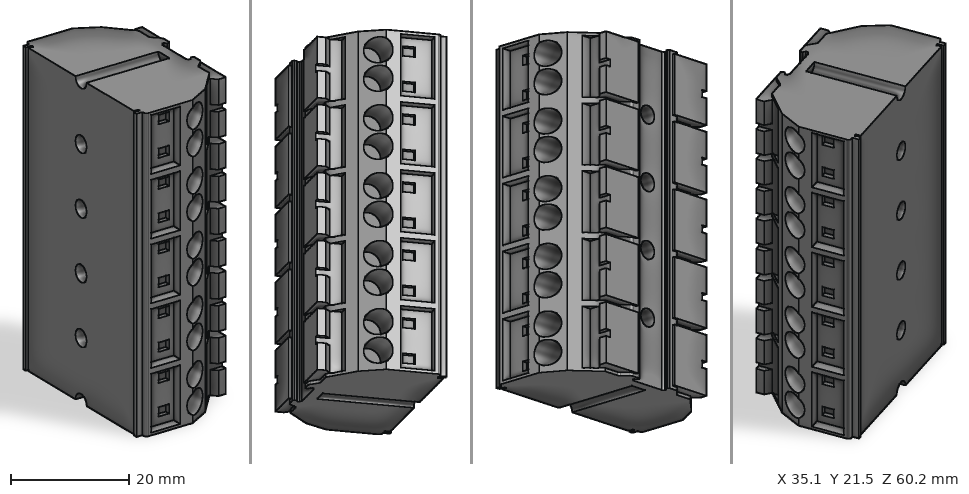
import cadquery as cq

module_count = 5
module_pitch = 12.05
length = module_count * module_pitch
half_width = 35.1 / 2
depth = 21.5

base_y = 0.25
top_y = 19.45
top_half_width = 10.35
knee_x = 15.15
knee_y = 15.15
side_top_y = 10.9
shelf_y = 1.2
shelf_fillet = 0.6
foot_outer_x = 16.6
foot_inner_x = 15.8
groove_width = 0.4

channel_half_width = 3.5
hook_y = 21.05
hook_outer_x = 5.55
hook_slope_x = 7.1
hook_crest_fillet = 0.9
hook_root_fillet = 0.6
undercut_x = 3.9
undercut_bottom_y = 19.75
undercut_top_y = 20.1
nose_x = 3.4
nose_bottom_y = 20.45
nose_chamfer = 0.25

lever_length = 10.85
lever_inner_x = 4.45
lever_outer_x = 12.3
lever_side_y = 20.0
lever_chamfer = 1.0
lever_bottom_y = 16.85
lever_slot_width = 1.25
lever_face_x = lever_outer_x - lever_chamfer

recess_length = 10.95
pocket_bottom_y = 2.35
pocket_top_y = 8.35
pocket_depth = 1.9
contact_y = 6.3
contact_height = 2.15
contact_width = 1.75
contact_offset = 3.1
contact_depth = 0.95

entry_diameter = 4.6
entry_y = 12.05
entry_offset = 2.5
entry_depth = 7.2

mount_diameter = 3.25
end_groove_top_y = 17.3


def both_sides(shape):
    """Return the +X shape together with its mirror image."""
    return shape.union(shape.mirror("YZ"))


def box(x_min, x_max, y_min, y_max, z_mid, z_length):
    """Box from X and Y limits, centred in Z on z_mid."""
    return (
        cq.Workplane("XY", origin=(0, 0, z_mid - z_length / 2))
        .moveTo(x_min, y_min)
        .lineTo(x_max, y_min)
        .lineTo(x_max, y_max)
        .lineTo(x_min, y_max)
        .close()
        .extrude(z_length)
    )


def edge_at(x, y):
    """Selector for the full-length edge parallel to Z through (x, y)."""
    margin = 0.05
    return cq.selectors.BoxSelector(
        (x - margin, y - margin, 0),
        (x + margin, y + margin, length),
    )


def make_body():
    half_profile = [
        (0, base_y),
        (foot_inner_x - groove_width, base_y),
        (foot_inner_x - groove_width, shelf_y),
        (foot_inner_x, shelf_y),
        (foot_inner_x, 0),
        (foot_outer_x, 0),
        (foot_outer_x, shelf_y),
        (half_width, shelf_y),
        (half_width, side_top_y),
        (knee_x, knee_y),
        (top_half_width, top_y),
        (hook_slope_x, top_y),
        (hook_outer_x, hook_y),
        (nose_x + nose_chamfer, hook_y),
        (nose_x, hook_y - nose_chamfer),
        (nose_x, nose_bottom_y),
        (undercut_x, undercut_top_y),
        (undercut_x, undercut_bottom_y),
        (channel_half_width, top_y),
        (0, top_y),
    ]
    half = cq.Workplane("XY").polyline(half_profile).close().extrude(length)
    corners = [
        (half_width, shelf_y, shelf_fillet),
        (hook_outer_x, hook_y, hook_crest_fillet),
        (hook_slope_x, top_y, hook_root_fillet),
    ]
    for x, y, radius in corners:
        half = half.edges(edge_at(x, y)).fillet(radius)
    return both_sides(half)


def make_lever(z_mid):
    profile = [
        (lever_inner_x, lever_bottom_y),
        (lever_face_x, lever_bottom_y),
        (lever_face_x, lever_side_y - lever_chamfer),
        (lever_outer_x, lever_side_y),
        (lever_outer_x, depth),
        (lever_inner_x, depth),
    ]
    lever = (
        cq.Workplane("XY", origin=(0, 0, z_mid - lever_length / 2))
        .polyline(profile)
        .close()
        .extrude(lever_length)
    )
    slot = box(lever_face_x, half_width, lever_bottom_y, depth, z_mid, lever_slot_width)
    return lever.cut(slot)


def make_side_recesses(z_mid):
    """Lever recess, side pocket, contact windows and wire entries of one module."""
    pocket_floor_x = half_width - pocket_depth
    recesses = box(lever_face_x, half_width, lever_bottom_y, depth, z_mid, recess_length)
    recesses = recesses.union(
        box(pocket_floor_x, half_width, pocket_bottom_y, pocket_top_y, z_mid, recess_length)
    )
    for side in (-1, 1):
        window = box(
            pocket_floor_x - contact_depth,
            half_width,
            contact_y - contact_height / 2,
            contact_y + contact_height / 2,
            z_mid + side * contact_offset,
            contact_width,
        )
        entry = (
            cq.Workplane("YZ", origin=(half_width - entry_depth, 0, 0))
            .center(entry_y, z_mid + side * entry_offset)
            .circle(entry_diameter / 2)
            .extrude(entry_depth)
        )
        recesses = recesses.union(window).union(entry)
    return recesses


def make_mount_bore(z, top):
    """Bore along +Y from the plane of the feet up to the given height."""
    return (
        cq.Workplane("XZ", origin=(0, 0, z))
        .circle(mount_diameter / 2)
        .extrude(-top)
    )


result = make_body()

for module in range(module_count):
    module_mid = (module + 0.5) * module_pitch
    result = result.cut(both_sides(make_side_recesses(module_mid)))
    result = result.union(both_sides(make_lever(module_mid)))

for joint in range(module_count + 1):
    at_end = joint in (0, module_count)
    bore_top = end_groove_top_y if at_end else depth
    result = result.cut(make_mount_bore(joint * module_pitch, bore_top))